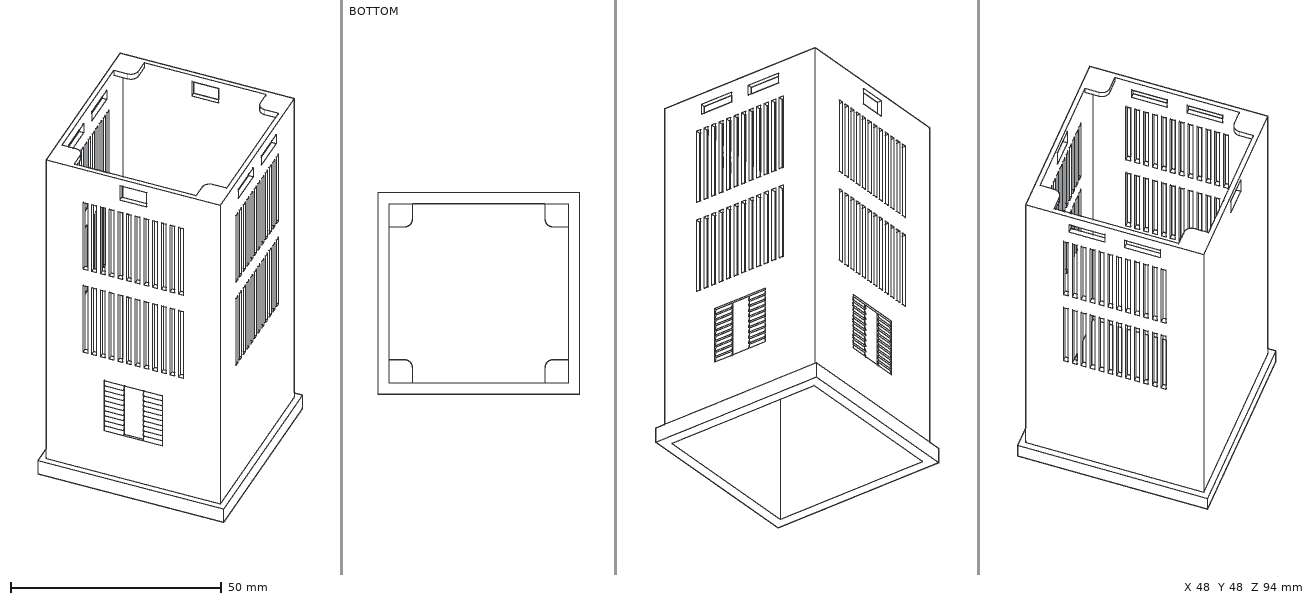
import cadquery as cq

height = 94.0
flange_side = 48.0
flange_height = 4.0
body_side = 45.0
wall = 1.2
bore_side = body_side - 2 * wall
half_body = body_side / 2

pad_reach = 5.5
pad_fillet = 2.0
pad_thickness = 1.5

slot_count = 12
slot_bank_width = 25.9
slot_width = 1.2
slot_pitch = (slot_bank_width - slot_width) / (slot_count - 1)
slot_height = 20.0
slot_bank_gap = 5.0
slot_bank_top = height - 10.0

front_window_width = 7.0
front_window_height = 4.3
front_window_top = height - 2.0
side_window_width = 9.0
side_window_height = 2.7
side_window_top = height - 3.0
side_window_gap = 5.0

louvre_side = 15.0
louvre_depth = 0.6
louvre_count = 10
louvre_pitch = louvre_side / louvre_count
louvre_column = louvre_side / 3
louvre_bottom = 17.0


def box_below(width, depth, box_height, x, y, top):
    """Box centred on (x, y) that hangs down from the level `top`."""
    box = cq.Workplane("XY").box(width, depth, box_height, centered=(True, True, False))
    return box.translate((x, y, top - box_height))


def turn_to_left(cutter):
    """Carry a cutter made for the -Y wall round to the -X wall."""
    return cutter.rotate((0, 0, 0), (0, 0, 1), -90)


def make_tube():
    flange = box_below(flange_side, flange_side, flange_height, 0, 0, flange_height)
    body = box_below(body_side, body_side, height, 0, 0, height)
    bore = box_below(bore_side, bore_side, height, 0, 0, height)
    return flange.union(body).cut(bore)


def make_pad(x_sign, y_sign):
    """Square pad filling one top corner, its free corner rounded."""
    side = pad_reach + wall
    offset = half_body - side / 2
    pad = box_below(side, side, pad_thickness, offset, offset, height)
    pad = pad.edges("|Z and <X and <Y").fillet(pad_fillet)
    if x_sign < 0:
        pad = pad.mirror("YZ")
    if y_sign < 0:
        pad = pad.mirror("XZ")
    return pad


def make_slots(y, depth):
    """Two banks of upright slots, cut to the given depth along Y and centred on y."""
    slots = cq.Workplane("XY")
    first_x = -(slot_count - 1) * slot_pitch / 2
    for bank_top in (slot_bank_top, slot_bank_top - slot_height - slot_bank_gap):
        for index in range(slot_count):
            x = first_x + index * slot_pitch
            slots = slots.add(box_below(slot_width, depth, slot_height, x, y, bank_top))
    return slots.combine()


def make_side_windows():
    """Pair of windows running through both opposite walls."""
    x = (side_window_gap + side_window_width) / 2
    window = box_below(side_window_width, flange_side, side_window_height, x, 0, side_window_top)
    return window.union(window.mirror("YZ"))


def make_louvres():
    """Cutter for the louvre panel in the -Y wall."""
    face = -half_body
    inner = face + louvre_depth
    cutter = box_below(louvre_column, 2 * louvre_depth, louvre_side, 0, face, louvre_bottom + louvre_side)
    for index in range(louvre_count):
        bottom = louvre_bottom + index * louvre_pitch
        top = bottom + louvre_pitch
        step = cq.Workplane("YZ").polyline([(face, bottom), (inner, top), (face, top)]).close()
        step = step.extrude(louvre_column / 2, both=True)
        for x in (-louvre_column, louvre_column):
            cutter = cutter.union(step.translate((x, 0, 0)))
    return cutter


result = make_tube()
for x_sign in (-1, 1):
    for y_sign in (-1, 1):
        result = result.union(make_pad(x_sign, y_sign))

result = result.cut(make_slots(-half_body, 4 * wall))
result = result.cut(turn_to_left(make_slots(0, flange_side)))

result = result.cut(
    box_below(front_window_width, flange_side, front_window_height, 0, 0, front_window_top)
)
result = result.cut(turn_to_left(make_side_windows()))

louvres = make_louvres()
result = result.cut(louvres).cut(turn_to_left(louvres))